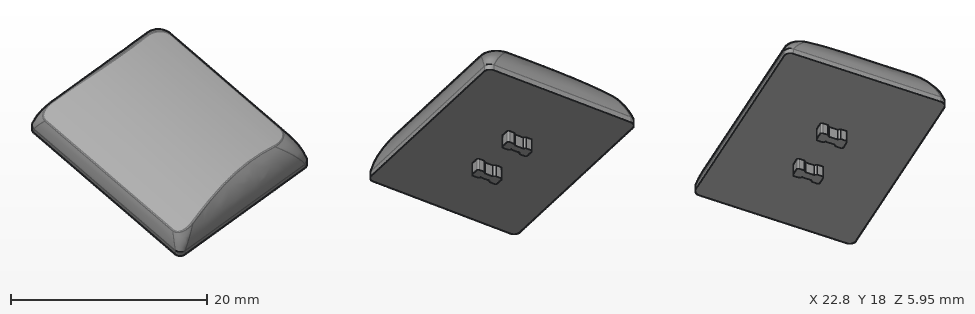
import cadquery as cq
import math

length_x = 22.75
width_y = 18.0
total_height = 5.95
leg_height = 1.4
cap_height = total_height - leg_height

skirt_height = 0.7
skirt_corner_radius = 0.7

side_wall = (6.0, 5.0)
back_wall = (7.0, 5.0)
front_wall = (7.0, 11.0)
corner_radius_growth = 0.35
wall_section_count = 6
wall_overshoot = 0.15

crown_radius = 30.0
crown_peak_y = 2.5
rim_fillet = 0.2

leg_spacing = 5.7
leg_thickness = 1.2
leg_width = 3.0
leg_corner_fillet = 0.2
waist_depth = 0.2
waist_opening = 1.45
waist_floor = 0.95


def wall_inset(wall, z):
    """Distance a curved wall has moved inward at height z."""
    radius, lean = wall
    start = math.radians(lean)
    angle = math.asin(math.sin(start) + (z - skirt_height) / radius)
    return radius * (math.cos(start) - math.cos(angle))


def rounded_section(z):
    """Rounded rectangle of the walls at height z, as a wire."""
    half_x = length_x / 2 - wall_inset(side_wall, z)
    y_front = -width_y / 2 + wall_inset(front_wall, z)
    y_back = width_y / 2 - wall_inset(back_wall, z)
    corner = skirt_corner_radius + corner_radius_growth * (z - skirt_height)
    outline = (
        cq.Workplane("XY", origin=(0, (y_front + y_back) / 2, z))
        .rect(2 * half_x, y_back - y_front)
        .val()
    )
    return outline.fillet2D(corner, outline.Vertices())


def make_skirt():
    return (
        cq.Workplane("XY")
        .rect(length_x, width_y)
        .extrude(skirt_height)
        .edges("|Z")
        .fillet(skirt_corner_radius)
    )


def make_walls():
    rise = cap_height + wall_overshoot - skirt_height
    step = rise / (wall_section_count - 1)
    sections = [rounded_section(skirt_height + i * step) for i in range(wall_section_count)]
    return cq.Workplane(cq.Solid.makeLoft(sections))


def make_crown():
    """Long cylinder whose upper surface forms the top of the cap."""
    return (
        cq.Workplane("YZ")
        .center(crown_peak_y, cap_height - crown_radius)
        .circle(crown_radius)
        .extrude(length_x, both=True)
    )


def make_cap():
    dome = make_walls().intersect(make_crown())
    dome = dome.faces(">Z").edges().fillet(rim_fillet)
    return make_skirt().union(dome)


def make_leg(x):
    """Upright leg with a shallow tapered groove down each broad side."""
    half_thickness = leg_thickness / 2
    leg = (
        cq.Workplane("XY")
        .box(leg_thickness, leg_width, leg_height, centered=(True, True, False))
        .edges("|Z")
        .fillet(leg_corner_fillet)
    )
    for side in (-1, 1):
        face_x = side * half_thickness
        floor_x = side * (half_thickness - waist_depth)
        groove = (
            cq.Workplane("XY")
            .moveTo(face_x, -waist_opening / 2)
            .lineTo(face_x, waist_opening / 2)
            .lineTo(floor_x, waist_floor / 2)
            .lineTo(floor_x, -waist_floor / 2)
            .close()
            .extrude(leg_height)
        )
        leg = leg.cut(groove)
    return leg.translate((x, 0, -leg_height))


result = make_cap()
for leg_x in (-leg_spacing / 2, leg_spacing / 2):
    result = result.union(make_leg(leg_x))